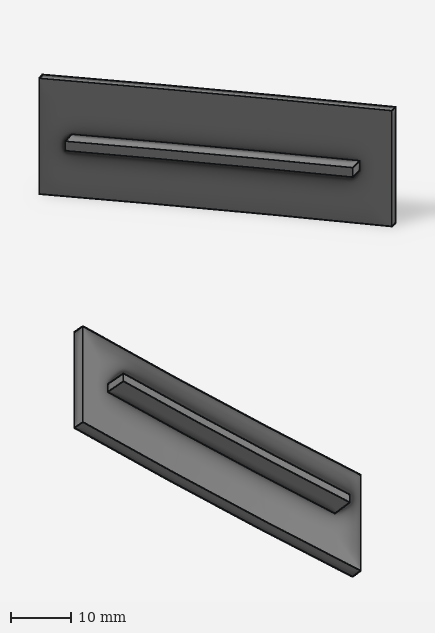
import cadquery as cq
import math

plate_length = 61.35
plate_height = 20.3
plate_thickness = 2.15
back_radius = 1135.0
rib_length = 50.05
rib_height = 1.65
overall_depth = 6.3

front_radius = back_radius - plate_thickness
plate_half_angle = math.asin(plate_length / 2 / back_radius)
rib_half_angle = math.asin(rib_length / 2 / front_radius)
rib_front_radius = (back_radius - overall_depth) / math.cos(rib_half_angle)


def arc_point(radius, angle):
    """Point on a concentric arc; the crown of the plate's back lies at the origin."""
    return (radius * math.sin(angle), radius * math.cos(angle) - back_radius)


def curved_bar(outer_radius, inner_radius, half_angle, height):
    """Annular sector with radial ends, centred on Z = 0."""
    return (
        cq.Workplane("XY")
        .workplane(offset=-height / 2)
        .moveTo(*arc_point(outer_radius, -half_angle))
        .threePointArc(arc_point(outer_radius, 0), arc_point(outer_radius, half_angle))
        .lineTo(*arc_point(inner_radius, half_angle))
        .threePointArc(arc_point(inner_radius, 0), arc_point(inner_radius, -half_angle))
        .close()
        .extrude(height)
    )


plate = curved_bar(back_radius, front_radius, plate_half_angle, plate_height)

rib_root_radius = back_radius - plate_thickness / 2
rib = curved_bar(rib_root_radius, rib_front_radius, rib_half_angle, rib_height)

result = plate.union(rib)